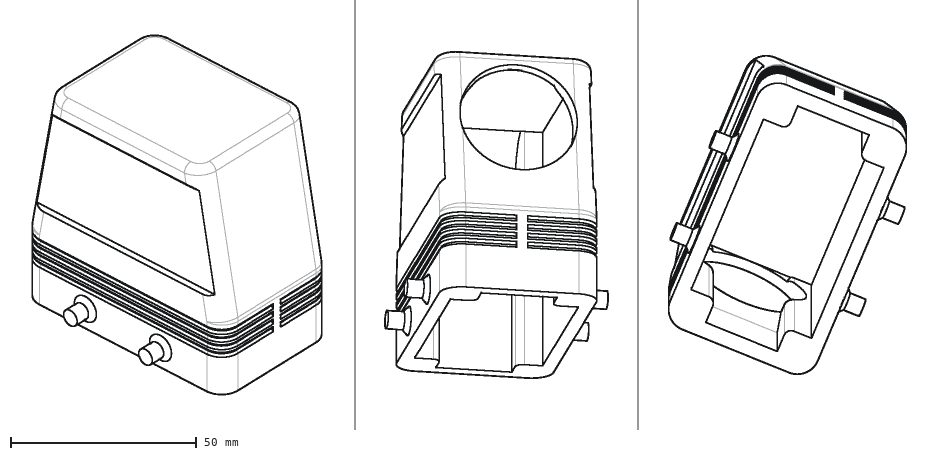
import cadquery as cq
import math

CLEARANCE = 3.65

LENGTH = 73.0
WIDTH = 43.0
HEIGHT = 70.0
TOP_LENGTH = 56.0
KINK_HEIGHT = 23.35
KINK_RADIUS = 6.8
CORNER_RADIUS = 6.0
TOP_RADIUS = 2.5
END_SLOPE = (LENGTH - TOP_LENGTH) / 2 / (HEIGHT - KINK_HEIGHT)
END_TILT = math.degrees(math.atan(END_SLOPE))

RECESS_DEPTH = 1.2
RECESS_LEDGE_HEIGHT = 0.9
RECESS_BOTTOM = 31.0
RECESS_TOP = 63.95

GROOVE_COUNT = 4
GROOVE_HEIGHT = 1.6
GROOVE_DEPTH = 0.6
GROOVE_BOTTOM = 12.2
GROOVE_PITCH = 2.5
GROOVE_GAP = 3.1

PIN_SPAN = 55.0
PIN_RADIUS = 2.5
PIN_SPACING = 27.45
PIN_HEIGHT = 6.4
COLLAR_RADIUS = 4.0
COLLAR_LENGTH = 1.45
COLLAR_ROOT = 0.7

ENTRY_RADIUS = 16.05
ENTRY_HEIGHT = 50.7
ENTRY_REACH = 10.2

CAVITY_WIDTH = 35.05
CEILING = 66.15
CAVITY_BEND_HEIGHT = 38.25
CAVITY_BEND_LENGTH = 59.1
CAVITY_UPPER_TILT = 8.0

PILLAR_SPACING_X = 50.8
PILLAR_SPACING_Y = 20.8
PILLAR_RADIUS = 2.05


def half_length_at(z):
    """Half length of the sloping upper body at height z."""
    return TOP_LENGTH / 2 + (HEIGHT - z) * END_SLOPE


def along_y(points, width):
    """Prism of an XZ outline, centred across the part."""
    return cq.Workplane("XZ").polyline(points).close().extrude(width / 2, both=True)


def hood_body():
    half = LENGTH / 2
    half_top = TOP_LENGTH / 2
    outline = [
        (-half, 0), (half, 0), (half, KINK_HEIGHT),
        (half_top, HEIGHT), (-half_top, HEIGHT), (-half, KINK_HEIGHT),
    ]
    body = along_y(outline, WIDTH)
    body = body.edges("|Y").edges("not(<Z or >Z)").fillet(KINK_RADIUS)
    body = body.faces("<Y or >Y").edges("not(<Z or >Z)").fillet(CORNER_RADIUS)
    return body.faces(">Z").edges().fillet(TOP_RADIUS)


def side_recess():
    """Cutter for the recess in the -Y side."""
    face = -WIDTH / 2
    outline = [
        (face, RECESS_BOTTOM),
        (face + RECESS_DEPTH, RECESS_BOTTOM + RECESS_LEDGE_HEIGHT),
        (face + RECESS_DEPTH, RECESS_TOP - RECESS_LEDGE_HEIGHT),
        (face, RECESS_TOP),
    ]
    return cq.Workplane("YZ").polyline(outline).close().extrude(LENGTH / 2, both=True)


def groove(bottom):
    """Cutter for one V-groove starting at the given height."""
    half_height = GROOVE_HEIGHT / 2
    lower = (
        cq.Workplane("XY")
        .sketch().rect(LENGTH, WIDTH).vertices().fillet(CORNER_RADIUS).finalize()
        .extrude(half_height, taper=math.degrees(math.atan(GROOVE_DEPTH / half_height)))
    )
    upper = lower.mirror("XY").translate((0, 0, GROOVE_HEIGHT))
    ring = cq.Workplane("XY").rect(LENGTH + CLEARANCE, WIDTH + CLEARANCE).extrude(GROOVE_HEIGHT)
    gap = cq.Workplane("XY").rect(LENGTH + CLEARANCE, GROOVE_GAP).extrude(GROOVE_HEIGHT)
    return ring.cut(lower).cut(upper).cut(gap).translate((0, 0, bottom))


def locking_pin(x):
    """Pin with its collar on the +Y side."""
    wall = WIDTH / 2
    outline = [
        (0, wall - COLLAR_ROOT), (COLLAR_RADIUS, wall - COLLAR_ROOT), (COLLAR_RADIUS, wall),
        (PIN_RADIUS, wall + COLLAR_LENGTH), (PIN_RADIUS, PIN_SPAN / 2), (0, PIN_SPAN / 2),
    ]
    pin = cq.Workplane("XY").polyline(outline).close().revolve(360, (0, 0), (0, 1))
    return pin.translate((x, 0, PIN_HEIGHT))


def cavity():
    bend = CAVITY_BEND_LENGTH / 2
    foot = bend + (CAVITY_BEND_HEIGHT - KINK_HEIGHT) * END_SLOPE
    top = bend - (CEILING - CAVITY_BEND_HEIGHT) * math.tan(math.radians(CAVITY_UPPER_TILT))
    right_side = [
        (foot, 0), (foot, KINK_HEIGHT), (bend, CAVITY_BEND_HEIGHT), (top, CEILING),
    ]
    left_side = [(-x, z) for x, z in reversed(right_side)]
    space = along_y(right_side + left_side, CAVITY_WIDTH)
    pillar = (
        cq.Workplane("XY")
        .rect(LENGTH / 2, WIDTH / 2, centered=False)
        .extrude(HEIGHT)
        .edges("|Z and <X and <Y")
        .fillet(PILLAR_RADIUS)
        .translate((PILLAR_SPACING_X / 2, PILLAR_SPACING_Y / 2, 0))
    )
    pillar_pair = pillar.union(pillar.mirror("XZ"))
    return space.cut(pillar_pair).cut(pillar_pair.mirror("YZ"))


def cable_entry():
    normal = cq.Vector(-math.cos(math.radians(END_TILT)), 0, math.sin(math.radians(END_TILT)))
    center = cq.Vector(-half_length_at(ENTRY_HEIGHT), 0, ENTRY_HEIGHT)
    plane = cq.Plane(origin=center + normal * CLEARANCE, xDir=(0, 1, 0), normal=-normal)
    return cq.Workplane(plane).circle(ENTRY_RADIUS).extrude(ENTRY_REACH + CLEARANCE)


result = hood_body()
result = result.cut(side_recess()).cut(side_recess().mirror("XZ"))
for index in range(GROOVE_COUNT):
    result = result.cut(groove(GROOVE_BOTTOM + index * GROOVE_PITCH))
for x in (-PIN_SPACING / 2, PIN_SPACING / 2):
    pin = locking_pin(x)
    result = result.union(pin).union(pin.mirror("XZ"))
result = result.cut(cavity()).cut(cable_entry())